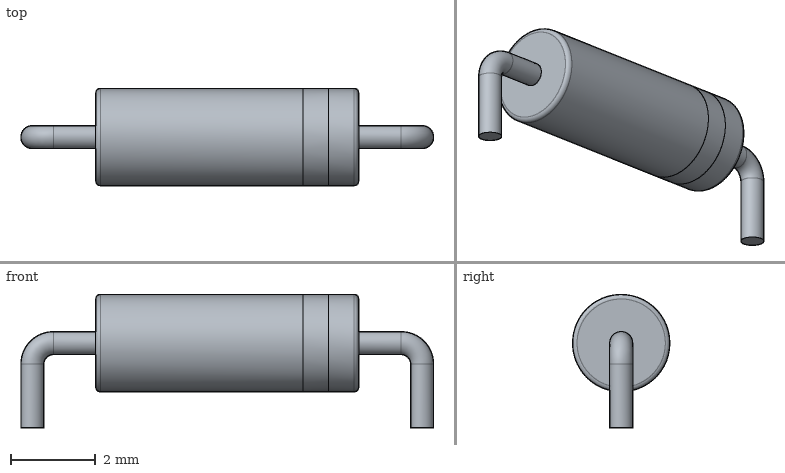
import cadquery as cq

overall_length = 9.75
overall_height = 3.15

housing_diameter = 2.3
housing_length = 6.21
edge_radius = 0.11
axis_height = overall_height - housing_diameter / 2
housing_end = housing_length / 2

band_inner_diameter = 1.75
band_width = 0.59
band_start = 1.79

lead_diameter = 0.55
bend_radius = 0.5
lead_offset = (overall_length - lead_diameter) / 2


def cylinder_along_x(start, length, diameter):
    """Round bar on the housing axis, growing toward +X from start."""
    plane = cq.Plane(origin=(start, 0, axis_height), xDir=(0, 1, 0), normal=(1, 0, 0))
    return cq.Workplane(plane).circle(diameter / 2).extrude(length)


def make_band():
    """Flush ring that fills the housing groove."""
    outer = cylinder_along_x(band_start, band_width, housing_diameter)
    core = cylinder_along_x(band_start, band_width, band_inner_diameter)
    return outer.cut(core)


def make_housing(band):
    """Cylinder with rounded end edges and a groove for the band."""
    blank = cylinder_along_x(-housing_end, housing_length, housing_diameter)
    rounded = blank.faces("<X or >X").edges().fillet(edge_radius)
    return rounded.cut(band)


def make_lead(side):
    """Wire from the housing end face, bent down to Z = 0; side is -1 or +1 along X."""
    bend_start = side * (lead_offset - bend_radius)
    bend_bottom = axis_height - bend_radius
    half_diagonal = bend_radius * 0.5 ** 0.5
    bend_middle = (bend_start + side * half_diagonal, bend_bottom + half_diagonal)
    path = (
        cq.Workplane("XZ")
        .moveTo(side * housing_end, axis_height)
        .lineTo(bend_start, axis_height)
        .threePointArc(bend_middle, (side * lead_offset, bend_bottom))
        .lineTo(side * lead_offset, 0)
    )
    start_plane = cq.Plane(
        origin=(side * housing_end, 0, axis_height), xDir=(0, 1, 0), normal=(side, 0, 0)
    )
    return cq.Workplane(start_plane).circle(lead_diameter / 2).sweep(path)


band = make_band()
housing = make_housing(band)
leads = [make_lead(side) for side in (-1, 1)]

result = cq.Compound.makeCompound([housing.val(), band.val(), *[lead.val() for lead in leads]])